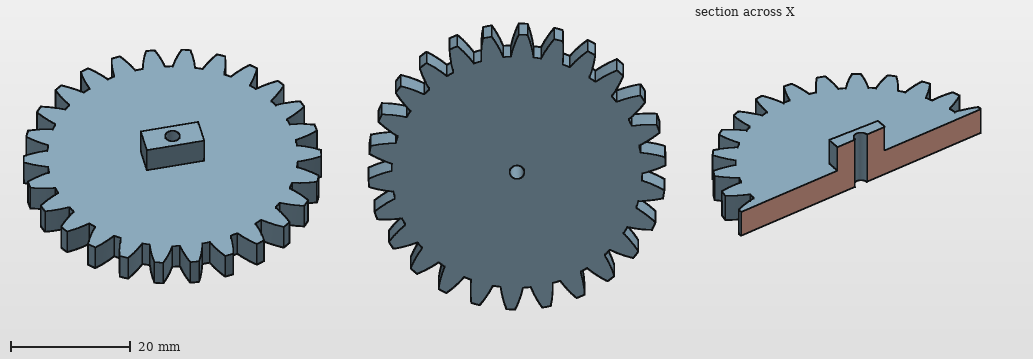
import cadquery as cq
import math

tooth_count = 26
outer_radius = 24.88
root_radius = 20.95
gear_thickness = 4.98

root_half_width = 1.9
middle_half_width = 1.45
tip_half_width = 0.75

total_height = 9.8
block_width = 4.5
block_length = 9.85
block_turn = -2.5
block_height = total_height - gear_thickness

bore_diameter = 2.45

tooth_pitch = 2 * math.pi / tooth_count
middle_radius = (root_radius + outer_radius) / 2


def tooth_point(radius, half_width, tooth_angle):
    """Point at a radius, offset sideways from the centreline of the tooth at tooth_angle.

    A negative half_width gives the clockwise flank, a positive one the other flank.
    """
    angle = tooth_angle + math.asin(half_width / radius)
    return (radius * math.cos(angle), radius * math.sin(angle))


def gear_outline():
    """Closed outline of all teeth, starting with the tooth that points along +Y."""
    first_angle = math.pi / 2
    outline = cq.Workplane("XY").moveTo(*tooth_point(root_radius, -root_half_width, first_angle))
    for index in range(tooth_count):
        angle = first_angle + index * tooth_pitch
        next_angle = angle + tooth_pitch
        outline = (
            outline.threePointArc(
                tooth_point(middle_radius, -middle_half_width, angle),
                tooth_point(outer_radius, -tip_half_width, angle),
            )
            .threePointArc(
                tooth_point(outer_radius, 0, angle),
                tooth_point(outer_radius, tip_half_width, angle),
            )
            .threePointArc(
                tooth_point(middle_radius, middle_half_width, angle),
                tooth_point(root_radius, root_half_width, angle),
            )
            .threePointArc(
                tooth_point(root_radius, 0, angle + tooth_pitch / 2),
                tooth_point(root_radius, -root_half_width, next_angle),
            )
        )
    return outline.close()


gear = gear_outline().extrude(gear_thickness)

block = (
    cq.Workplane("XY")
    .workplane(offset=gear_thickness)
    .transformed(rotate=(0, 0, block_turn))
    .rect(block_width, block_length)
    .extrude(block_height)
)

bore = cq.Workplane("XY").circle(bore_diameter / 2).extrude(total_height)

result = gear.union(block).cut(bore)